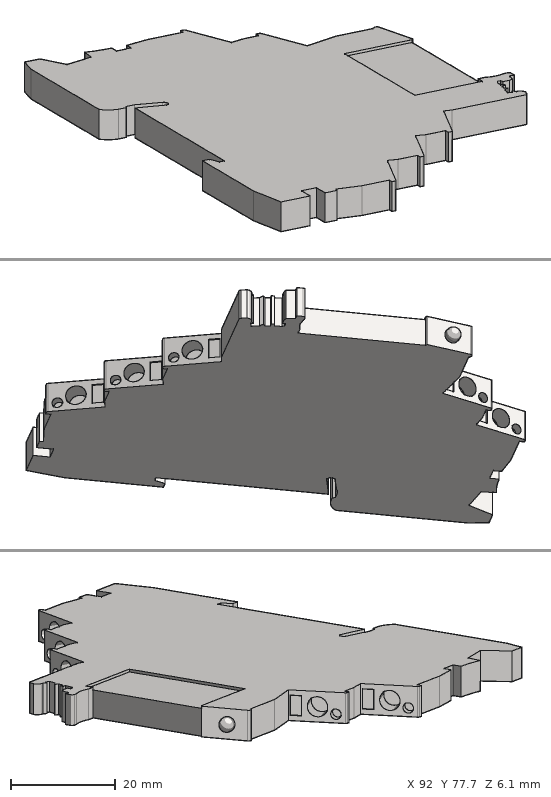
import cadquery as cq
import math

length = 92.0
height = 77.7
thickness = 6.1
mid_z = thickness / 2

step_x = 8.9
step_y = 11.5
ledge_run = 10.5
ledge_drop = 4.2
lip_height = 0.9
lip_overhang = 1.0
lip_round = 0.4
left_ledge_roots = [(10.8 + i * step_x, 40.4 + i * step_y) for i in range(2)]
right_ledge_roots = [(length - ledge_run - i * step_x, 33.1 + i * step_y) for i in range(3)]
left_taper = 3.1
right_taper = 2.0

head_top = 70.75
head_right = 64.0
head_peak = (26.8, 71.1)
head_lip = (17.0, 68.6)
head_lip_round = 0.55

rail_y = 6.3

label_left = 27.05
label_right = 53.45
label_bottom = 55.75
label_depth = 0.55

screw_diameter = 4.0
screw_depth = 4.0
test_diameter = 2.0
test_depth = 1.8
test_offset = -3.6
test_drop = 1.3
wire_width = 2.2
wire_height = 4.0
wire_depth = 0.4
wire_offset = 4.2

lamp_radius = 1.5
lamp_collar = 0.6
lamp_fraction = 0.48


def lip_points(root, side):
    """Lip of a ledge from the wall below it up to the tip; side is -1 for left, 1 for right."""
    tip_x = root[0] + side * ledge_run
    tip_y = root[1] - ledge_drop
    wall_x = tip_x - side * lip_overhang
    return [(wall_x, tip_y - lip_height), (tip_x, tip_y - lip_height), (tip_x, tip_y)]


def flank_points(roots, side, taper):
    """All ledges of one flank from the lowest up, joined by slightly tapered risers."""
    points = []
    for i, root in enumerate(roots):
        lip = lip_points(root, side)
        if i > 0:
            wall_x = lip[0][0]
            points.append((wall_x, roots[i - 1][1] + taper))
        points += lip + [root]
    return points


def housing():
    """Stepped body, traced counterclockwise from its lower left corner."""
    hook = [(31.4, 5.0), (30.8, 5.2), (30.8, 7.1), (32.4, 12.3)]
    slot_end = [(33.3, 13.1), (34.0, 12.3)]
    foot_right = [
        (32.4, rail_y), (66.0, rail_y), (66.0, 5.15), (63.8, 4.2), (63.8, 2.7),
        (83.0, 2.7), (90.8, 4.1), (90.8, 10.6), (87.5, 10.6), (87.5, 13.9),
        (90.8, 13.9), (90.8, 16.6), (90.1, 16.7), (91.0, 21.9),
    ]
    head = [(head_right, 57.8), (head_right, head_top), (label_left, head_top), head_peak, head_lip,
            (17.9, 67.4), (17.9, 59.25)]
    waist = [(1.3, 27.4), (2.0, 22.4), (3.7, 22.4), (3.7, 19.1), (1.8, 19.1)]
    heel = [(4.1, 13.25), (5.2, 7.3), (0, 4.3)]

    outline = cq.Workplane("XY").moveTo(0, 0.9)
    outline = outline.lineTo(4.05, 0).lineTo(29.6, 0).threePointArc((30.8, 1.5), (31.4, 3.2))
    for point in hook:
        outline = outline.lineTo(*point)
    outline = outline.threePointArc(*slot_end)
    left_flank = list(reversed(flank_points(left_ledge_roots, -1, left_taper)))
    for point in foot_right + flank_points(right_ledge_roots, 1, right_taper) + head + left_flank + waist:
        outline = outline.lineTo(*point)
    outline = outline.threePointArc((1.7, 16.1), (1.2, 13.5))
    for point in heel:
        outline = outline.lineTo(*point)
    body = outline.close().extrude(thickness)
    return round_lips(body)


def round_lips(body):
    """Round the upper corner of every lip."""
    tips = [(x - ledge_run, y - ledge_drop) for x, y in left_ledge_roots]
    tips += [(x + ledge_run, y - ledge_drop) for x, y in right_ledge_roots]
    for tip in tips:
        body = round_corner(body, tip, lip_round)
    return round_corner(body, head_lip, head_lip_round)


def round_corner(body, corner, radius):
    edge = cq.selectors.NearestToPointSelector((corner[0], corner[1], mid_z))
    return body.edges(edge).fillet(radius)


def marker_holder():
    """Clip on the right end of the head, with two small teeth and a barb in its trough."""
    left = 51.8
    post_round = 0.55
    arc_inset = post_round * (1 - math.sqrt(0.5))
    post = [
        (53.5, height), (53.5, 76.6), (55.3, 76.3), (55.6, 75.4),
        (55.6, 74.1), (54.9, 73.9), (54.9, 73.1),
    ]
    trough = [
        (55.4, 72.9), (56.9, 72.7), (56.95, 73.4), (57.6, 73.4), (57.6, 72.6),
        (58.6, 72.4), (59.1, 73.05), (59.6, 72.1), (61.2, 71.7), (61.5, 72.7),
        (60.9, 72.9), (61.5, 73.5), (61.5, 73.9),
    ]
    clip = (
        cq.Workplane("XY").moveTo(left, head_top).lineTo(left, 72.3)
        .threePointArc((52.2, 74.4), (left, 76.5))
        .lineTo(left, height - post_round)
        .threePointArc((left + arc_inset, height - arc_inset), (left + post_round, height))
    )
    for point in post + trough:
        clip = clip.lineTo(*point)
    clip = (
        clip.threePointArc((61.8, 74.5), (62.65, 74.9))
        .lineTo(63.8, 74.5).lineTo(head_right, 74.2).lineTo(head_right, head_top)
    )
    return clip.close().extrude(thickness)


def label_recess():
    """Shallow rectangular recess, open at the top of the head."""
    return cq.Workplane("XY").box(
        label_right - label_left, head_top - label_bottom, label_depth, centered=False
    ).translate((label_left, label_bottom, thickness - label_depth))


def ledge_openings(root, side):
    """Screw hole, test hole and shallow wire opening, all square to the ledge."""
    middle = (root[0] + side * ledge_run / 2, root[1] - ledge_drop / 2, mid_z)
    upslope = (-side * ledge_run, ledge_drop, 0)
    outward = (side * ledge_drop, ledge_run, 0)
    plane = cq.Plane(origin=middle, xDir=upslope, normal=outward)
    test_z = -side * test_drop
    screw = cq.Workplane(plane).circle(screw_diameter / 2).extrude(-screw_depth)
    test = cq.Workplane(plane).center(test_offset, test_z).circle(test_diameter / 2).extrude(-test_depth)
    wire = cq.Workplane(plane).center(wire_offset, 0).rect(wire_width, wire_height).extrude(-wire_depth)
    return screw.union(test).union(wire)


def lamp():
    """Short collar with a domed end, square to the shoulder of the head."""
    run = head_peak[0] - head_lip[0]
    rise = head_peak[1] - head_lip[1]
    seat = (head_lip[0] + lamp_fraction * run, head_lip[1] + lamp_fraction * rise, mid_z)
    plane = cq.Plane(origin=seat, xDir=(run, rise, 0), normal=(-rise, run, 0))
    collar = cq.Workplane(plane).circle(lamp_radius).extrude(lamp_collar)
    dome = cq.Workplane(plane).workplane(offset=lamp_collar).sphere(lamp_radius)
    return collar.union(dome)


result = housing().cut(label_recess()).union(marker_holder()).union(lamp())
for ledge_root in left_ledge_roots:
    result = result.cut(ledge_openings(ledge_root, -1))
for ledge_root in right_ledge_roots:
    result = result.cut(ledge_openings(ledge_root, 1))